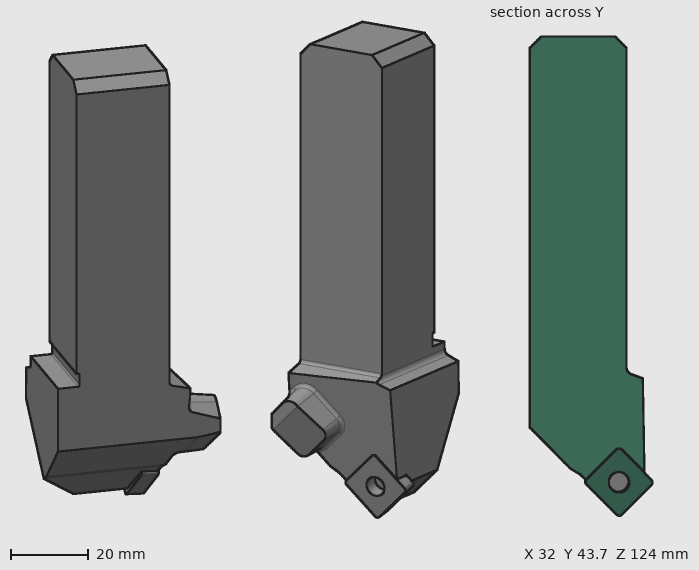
import cadquery as cq
import math

shank = 25.0
total_height = 124.0
end_chamfer = 3.0

groove_bottom = 40.4
groove_top = 44.0
groove_depth = 0.8
groove_fillet = 0.4

head_front = -5.0
head_left = -4.2
head_back = 30.6
left_lean = 1.0
left_shoulder_z = 38.5
left_shoulder_radius = 1.7
left_shoulder_fall = math.radians(20.0)
back_shoulder_z = 39.0
back_shoulder_radius = 1.0
back_shoulder_fall = math.radians(15.0)

lower_right = (shank, 23.1)
relief_start = (14.4, 12.4)
relief_end = (12.05, 11.0)
nose = (2.5, 2.15)

bevel_front_sum = 22.9
bevel_back = 5.8

rake_slope = math.tan(math.radians(6.0))
rake_point = (head_left, 27.6, 35.9)
rake_normal = cq.Vector(-rake_slope, 1, -rake_slope).normalized()
uphill = cq.Vector(1, 2 * rake_slope, 1).normalized()

insert_side = 12.7
insert_thickness = 4.76
insert_corner = 0.8
insert_hole = 5.16
insert_centre = (1.6, 25.55, 8.6)

clamp_ridge = (20.8, 38.72, 27.15)
clamp_width = 10.6
clamp_draft = 5.0
clamp_reach = 10.8
clamp_back = 3.2
clamp_tip_radius = 2.0
clamp_fall = 16.6
clamp_foot_fillet = 1.0

oversize = 200.0


def rake_plane(origin):
    return cq.Plane(origin=origin, xDir=uphill, normal=rake_normal)


def half_space(plane):
    """Large block on the normal side of a plane."""
    return cq.Workplane(plane).rect(oversize, oversize).extrude(oversize)


def shoulder_drop(distance, radius, fall):
    """Height lost between the start of a shoulder's fillet and a distance outward."""
    fillet_reach = radius * (1 - math.sin(fall))
    return radius * math.cos(fall) + (distance - fillet_reach) * math.tan(fall)


def shoulder_fillet(radius, fall):
    """Middle and end of a shoulder's fillet, as (distance outward, drop)."""
    half_turn = (math.pi / 2 - fall) / 2
    middle = (radius * (1 - math.cos(half_turn)), radius * math.sin(half_turn))
    end = (radius * (1 - math.sin(fall)), radius * math.cos(fall))
    return middle, end


def head_outline():
    """Head profile seen along Y, deep enough to hold the clamp as well."""
    middle, end = shoulder_fillet(left_shoulder_radius, left_shoulder_fall)
    left_top = left_shoulder_z - shoulder_drop(
        -head_left, left_shoulder_radius, left_shoulder_fall
    )
    lean = math.tan(math.radians(left_lean))
    left_low = (sum(nose) - head_left + lean * left_top) / (1 + lean)
    return (
        cq.Workplane("XZ", origin=(0, head_front, 0))
        .moveTo(shank, groove_bottom)
        .lineTo(0, groove_bottom)
        .lineTo(0, left_shoulder_z)
        .threePointArc(
            (-middle[0], left_shoulder_z - middle[1]),
            (-end[0], left_shoulder_z - end[1]),
        )
        .lineTo(head_left, left_top)
        .lineTo(sum(nose) - left_low, left_low)
        .lineTo(*nose)
        .lineTo(*relief_end)
        .lineTo(*relief_start)
        .lineTo(*lower_right)
        .close()
        .extrude(-oversize)
    )


def side_outline():
    """Head profile seen along X."""
    middle, end = shoulder_fillet(back_shoulder_radius, back_shoulder_fall)
    back_top = back_shoulder_z - shoulder_drop(
        head_back - shank, back_shoulder_radius, back_shoulder_fall
    )
    return (
        cq.Workplane("YZ")
        .moveTo(head_front, groove_bottom)
        .lineTo(shank, groove_bottom)
        .lineTo(shank, back_shoulder_z)
        .threePointArc(
            (shank + middle[0], back_shoulder_z - middle[1]),
            (shank + end[0], back_shoulder_z - end[1]),
        )
        .lineTo(head_back, back_top)
        .lineTo(head_back, 0)
        .lineTo(head_front, 0)
        .close()
        .extrude(oversize, both=True)
    )


def bevel_cutter():
    rise = (bevel_front_sum - sum(nose)) / (bevel_back - head_front)
    on_front_face = (bevel_front_sum / 2, head_front, bevel_front_sum / 2)
    outward = cq.Vector(-1, -rise, -1)
    return half_space(cq.Plane(on_front_face, (1, 0, -1), outward))


def insert_blank():
    """Square plate that also shapes the seat in the holder."""
    return (
        cq.Workplane(rake_plane(insert_centre))
        .rect(insert_side, insert_side)
        .extrude(-insert_thickness)
        .edges(cq.selectors.ParallelDirSelector(rake_normal))
        .fillet(insert_corner)
    )


def insert_body():
    hole = (
        cq.Workplane(rake_plane(insert_centre))
        .circle(insert_hole / 2)
        .extrude(-insert_thickness)
    )
    return insert_blank().cut(hole)


def clamp():
    """Drafted finger with a rounded back and a falling top."""
    ridge = cq.Vector(*clamp_ridge)
    height = (ridge - cq.Vector(*rake_point)).dot(rake_normal)
    foot = ridge - rake_normal * height
    spread = height * math.tan(math.radians(clamp_draft))
    length = clamp_reach + clamp_back + 2 * spread
    profile = (
        cq.Sketch()
        .rect(length, clamp_width + 2 * spread)
        .vertices("<X").fillet(clamp_tip_radius + spread)
        .reset()
        .vertices(">X").fillet(clamp_back + spread)
    )
    finger = (
        cq.Workplane(rake_plane(foot))
        .center((clamp_back - clamp_reach) / 2, 0)
        .placeSketch(profile)
        .extrude(2 * height, taper=clamp_draft)
    )
    fall = math.tan(math.radians(clamp_fall)) / math.sqrt(2)
    flat_top = cq.Plane(clamp_ridge, (1, 0, 0), (0, 1, 0))
    falling_top = cq.Plane(clamp_ridge, (1, 0, -1), (-fall, 1, -fall))
    return finger.cut(half_space(flat_top)).cut(half_space(falling_top))


def fillet_clamp_foot(head):
    rake_face = next(
        face for face in head.faces("%PLANE").vals()
        if face.innerWires() and face.normalAt().dot(rake_normal) > 0
    )
    foot_loop = rake_face.innerWires()[0].Edges()
    return head.newObject(foot_loop).fillet(clamp_foot_fillet)


def groove_cutter():
    return (
        cq.Workplane("XY", origin=(0, -shank + groove_depth, groove_bottom))
        .box(shank, shank, groove_top - groove_bottom, centered=False)
        .faces(">Y").edges("|X").fillet(groove_fillet)
    )


def shank_bar():
    return (
        cq.Workplane("XY", origin=(0, 0, groove_bottom))
        .box(shank, shank, total_height - groove_bottom, centered=False)
        .faces(">Z").edges("|Y").chamfer(end_chamfer)
        .cut(groove_cutter())
    )


def holder_body():
    head = side_outline().cut(half_space(rake_plane(rake_point)))
    head = fillet_clamp_foot(head.union(clamp()))
    head = head.intersect(head_outline()).cut(bevel_cutter())
    return head.union(shank_bar())


insert = insert_body()
holder = holder_body().cut(insert_blank())
result = cq.Compound.makeCompound([holder.val(), insert.val()])